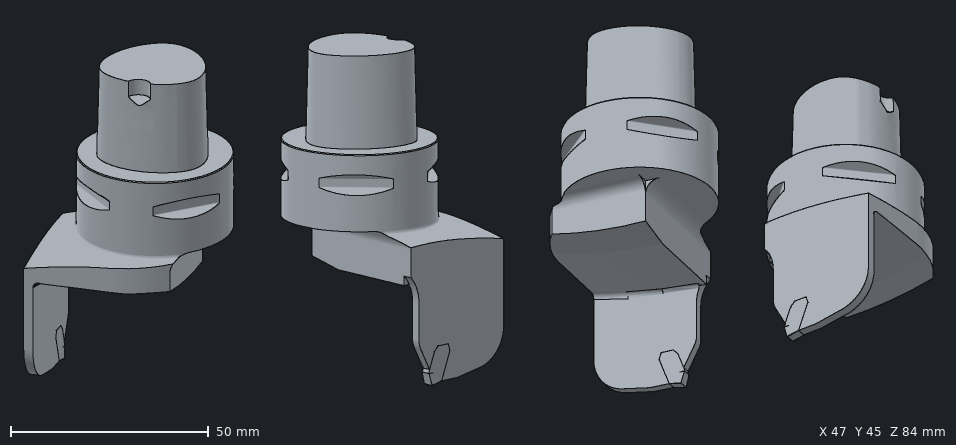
import cadquery as cq
import math


SHANK_HEIGHT = 24.0
SHANK_RADIUS = 14.1
LOBE_DEPTH = 0.8
LOBE_COUNT = 3
FIRST_LOBE_ANGLE = 90
LOBE_SPLINE_STEPS = 12
SHANK_TAPER = 1 / 40
LOBE_HALF_ANGLE = 28
KEYWAY_DIAMETER = 6.2
KEYWAY_Y = -13.5
KEYWAY_DEPTH = 4.2
KEYWAY_TIP_DEPTH = 2.4

FLANGE_RADIUS = 40.0 / 2
FLANGE_HEIGHT = 20.0
FLANGE_CHAMFER = 0.25
SLOT_COUNT = 4
FIRST_SLOT_ANGLE = 45
SLOT_Z = -7.9
SLOT_FLOOR_HEIGHT = 2.4
SLOT_FLOOR_FILLET = 0.3
SLOT_DEPTH = 2.35
SLOT_WALL_ANGLE = 32

BLADE_MID_X = -25.5
BLADE_THICKNESS = 2.5
BLADE_OUTER_X = BLADE_MID_X - BLADE_THICKNESS / 2
BLADE_INNER_X = BLADE_MID_X + BLADE_THICKNESS / 2
BLADE_FRONT_Y = -25.0
BLADE_BACK_Y = 4.0
BLADE_NECK_TOP_Z = -30.9
BLADE_NECK_RADIUS = 10.0
BLADE_SLANT_TOP_Z = -48.8
BLADE_FLAT_END_Y = -9.1
BLADE_BOTTOM_SLOPE = 10.4
BLADE_HEEL_RADIUS = 5.0
BLADE_BOTTOM_Z = -59.2
BLADE_CORNER_RADIUS = 10.0
BLADE_ROOT_FILLET = 1.35

ARM_BACK_Y = 6.8
ARM_END_X = 10.5
ARM_FRONT_BOTTOM_Z = -29.15
ARM_BOTTOM_Z = -33.4
ARM_END_BOTTOM_Z = -31.4
ARM_RISE_X = 0.6
ARM_ROUND_RADIUS = 25.0
ARM_ROUND_X = -5.0
ARM_FLARE_RADIUS = 3.8
CONE_ANGLE = 15
CONE_START_Z = -21.1
CONE_FILLET = 1.1
CONE_OUTER_RADIUS = 50.4
UNDERSIDE_BULGE = 0.8
SECTION_MARGIN = 2.5

CUT_WIDTH = 3.0
TIP = (-0.25, -60.0)
RAKE_TOP = (0.7, -56.7)
RELIEF_BACK = (-0.7, -56.7)
RELIEF_FRONT = (-3.5, -59.3)
SEAT_POINTS = [
    (-3.7, -59.3),
    (-6.55, -51.75),
    (-6.0, -50.0),
    (-2.5, -50.0),
    (-1.3, -51.3),
    (0.4, -55.7),
]


def lobe_point(mean_radius, angle):
    """Point of the three-lobed outline whose outward normal is at the angle in degrees."""
    t = math.radians(angle)
    reach = mean_radius - LOBE_DEPTH * math.sin(LOBE_COUNT * t)
    reach_slope = -LOBE_COUNT * LOBE_DEPTH * math.cos(LOBE_COUNT * t)
    return (
        reach * math.cos(t) - reach_slope * math.sin(t),
        reach * math.sin(t) + reach_slope * math.cos(t),
    )


def lobe_wire(mean_radius, z):
    """Closed outline at height z, alternating lobe faces and the sides between them."""
    pitch = 360 / LOBE_COUNT
    steps = LOBE_SPLINE_STEPS
    edges = []
    for lobe in range(LOBE_COUNT):
        start = FIRST_LOBE_ANGLE + lobe * pitch - LOBE_HALF_ANGLE
        ends = [start, start + 2 * LOBE_HALF_ANGLE, start + pitch]
        for first, last in zip(ends, ends[1:]):
            angles = [first + (last - first) * i / steps for i in range(steps + 1)]
            points = [cq.Vector(*lobe_point(mean_radius, a), z) for a in angles]
            edges.append(cq.Edge.makeSpline(points))
    return cq.Wire.assembleEdges(edges)


def make_shank():
    """Tapered polygon shank with a blind drilled keyway in its front side."""
    top_radius = SHANK_RADIUS - SHANK_TAPER * SHANK_HEIGHT
    shank = cq.Solid.makeLoft([lobe_wire(SHANK_RADIUS, 0), lobe_wire(top_radius, SHANK_HEIGHT)], True)
    keyway = (
        cq.Workplane("XZ")
        .polyline([
            (0, SHANK_HEIGHT),
            (KEYWAY_DIAMETER / 2, SHANK_HEIGHT),
            (KEYWAY_DIAMETER / 2, SHANK_HEIGHT - KEYWAY_DEPTH),
            (0, SHANK_HEIGHT - KEYWAY_DEPTH - KEYWAY_TIP_DEPTH),
        ])
        .close()
        .revolve(360, (0, 0), (0, 1))
        .translate((0, KEYWAY_Y, 0))
    )
    return cq.Workplane(shank).cut(keyway)


def make_flange():
    """Round flange with gripper slots spaced evenly around it."""
    flange = (
        cq.Workplane("XY")
        .workplane(offset=-FLANGE_HEIGHT)
        .circle(FLANGE_RADIUS)
        .extrude(FLANGE_HEIGHT)
        .faces(">Z")
        .chamfer(FLANGE_CHAMFER)
    )
    floor = FLANGE_RADIUS - SLOT_DEPTH
    half_floor = SLOT_FLOOR_HEIGHT / 2
    half_mouth = half_floor + SLOT_DEPTH * math.tan(math.radians(SLOT_WALL_ANGLE))
    slot = (
        cq.Workplane("XZ")
        .polyline([
            (floor, SLOT_Z - half_floor),
            (FLANGE_RADIUS, SLOT_Z - half_mouth),
            (FLANGE_RADIUS, SLOT_Z + half_mouth),
            (floor, SLOT_Z + half_floor),
        ])
        .close()
        .extrude(FLANGE_RADIUS, both=True)
        .faces("<X")
        .edges("|Y")
        .fillet(SLOT_FLOOR_FILLET)
    )
    for i in range(SLOT_COUNT):
        angle = FIRST_SLOT_ANGLE + 360 / SLOT_COUNT * i
        flange = flange.cut(slot.rotate((0, 0, 0), (0, 0, 1), angle))
    return flange


def front_wall_y(x):
    """Y of the arm's front wall on its arc."""
    return BLADE_FRONT_Y + ARM_ROUND_RADIUS - math.sqrt(ARM_ROUND_RADIUS**2 - (x - ARM_ROUND_X) ** 2)


def arm_section(x, front_y, bottom_z):
    """Cross-section of the arm at x, with a bulging underside that is steepest at the front."""
    arc_mid = (
        (ARM_BACK_Y + front_y) / 2,
        (bottom_z + ARM_FRONT_BOTTOM_Z) / 2 - UNDERSIDE_BULGE,
    )
    run = ARM_BACK_Y - front_y
    front_slope = (ARM_FRONT_BOTTOM_Z - bottom_z + 4 * UNDERSIDE_BULGE) / run
    nose = (front_y - SECTION_MARGIN, ARM_FRONT_BOTTOM_Z + SECTION_MARGIN * front_slope)
    return (
        cq.Workplane("YZ", origin=(x, 0, 0))
        .moveTo(ARM_BACK_Y, -FLANGE_HEIGHT)
        .lineTo(ARM_BACK_Y, bottom_z)
        .threePointArc(arc_mid, (front_y, ARM_FRONT_BOTTOM_Z))
        .lineTo(*nose)
        .lineTo(nose[0], -FLANGE_HEIGHT)
        .close()
        .wires()
        .val()
    )


def make_arm():
    """Arm from the blade to its free end, trimmed to its outline in plan."""
    inner = arm_section(BLADE_INNER_X, BLADE_FRONT_Y, ARM_BOTTOM_Z)
    rise = arm_section(ARM_RISE_X, BLADE_FRONT_Y, ARM_BOTTOM_Z)
    end = arm_section(ARM_END_X, front_wall_y(ARM_END_X), ARM_END_BOTTOM_Z)
    level_part = cq.Workplane(cq.Solid.makeLoft([inner, rise], True))
    rising_part = cq.Workplane(cq.Solid.makeLoft([rise, end], True))
    outline = (
        cq.Workplane("XY")
        .moveTo(BLADE_OUTER_X, BLADE_FRONT_Y)
        .lineTo(ARM_ROUND_X, BLADE_FRONT_Y)
        .radiusArc((ARM_END_X, front_wall_y(ARM_END_X)), -ARM_ROUND_RADIUS)
        .lineTo(ARM_END_X, ARM_BACK_Y)
        .lineTo(BLADE_OUTER_X, ARM_BACK_Y)
        .close()
        .extrude(ARM_BOTTOM_Z)
    )
    return level_part.union(rising_part).intersect(outline)


def flare_bar(length):
    """Bar of the given length along Y with a concave quarter-round side facing down and +X."""
    r = ARM_FLARE_RADIUS
    return (
        cq.Workplane("XZ")
        .moveTo(0, -FLANGE_HEIGHT)
        .lineTo(0, -FLANGE_HEIGHT - r)
        .radiusArc((r, -FLANGE_HEIGHT), r)
        .close()
        .extrude(-length)
    )


def make_flare():
    """Concave flares where the back and the free end of the arm run into the flange."""
    front_y = front_wall_y(ARM_END_X)
    end_flare = flare_bar(ARM_BACK_Y - front_y).translate((ARM_END_X, front_y, 0))
    back_flare = (
        flare_bar(ARM_END_X - BLADE_OUTER_X)
        .rotate((0, 0, 0), (0, 0, 1), 90)
        .translate((ARM_END_X, ARM_BACK_Y, 0))
    )
    front_limit = (
        cq.Workplane("XY")
        .center(ARM_ROUND_X, BLADE_FRONT_Y + ARM_ROUND_RADIUS)
        .circle(ARM_ROUND_RADIUS)
        .extrude(-FLANGE_HEIGHT - 2 * ARM_FLARE_RADIUS)
    )
    return end_flare.intersect(front_limit).union(back_flare)


def make_blade():
    """Flat blade whose edge is left open where the insert leaves it."""
    slope = math.tan(math.radians(BLADE_BOTTOM_SLOPE))
    corner_z = BLADE_BOTTOM_Z + slope * (BLADE_FLAT_END_Y - BLADE_FRONT_Y)
    neck_width = ARM_BACK_Y - BLADE_BACK_Y
    neck_height = math.sqrt(BLADE_NECK_RADIUS**2 - (BLADE_NECK_RADIUS - neck_width) ** 2)
    blade = (
        cq.Workplane("YZ", origin=(BLADE_OUTER_X, 0, 0))
        .moveTo(BLADE_FRONT_Y, -FLANGE_HEIGHT)
        .lineTo(BLADE_FRONT_Y, corner_z)
        .lineTo(BLADE_FLAT_END_Y, BLADE_BOTTOM_Z)
        .lineTo(*SEAT_POINTS[0])
        .lineTo(*SEAT_POINTS[-1])
        .lineTo(BLADE_BACK_Y, BLADE_SLANT_TOP_Z)
        .lineTo(BLADE_BACK_Y, BLADE_NECK_TOP_Z - neck_height)
        .radiusArc((ARM_BACK_Y, BLADE_NECK_TOP_Z), BLADE_NECK_RADIUS)
        .lineTo(ARM_BACK_Y, -FLANGE_HEIGHT)
        .close()
        .extrude(BLADE_THICKNESS)
    )
    corner = cq.NearestToPointSelector((BLADE_MID_X, BLADE_FRONT_Y, corner_z))
    blade = blade.edges(corner).fillet(BLADE_CORNER_RADIUS)
    heel = cq.NearestToPointSelector((BLADE_MID_X, BLADE_BACK_Y, BLADE_SLANT_TOP_Z))
    return blade.edges(heel).fillet(BLADE_HEEL_RADIUS)


def make_cone_envelope():
    """Solid of revolution on the insert side of the cone that tops the arm, blended into the flange."""
    drop = (CONE_OUTER_RADIUS - FLANGE_RADIUS) * math.tan(math.radians(CONE_ANGLE))
    envelope = (
        cq.Workplane("XZ")
        .polyline([
            (0, TIP[1]),
            (CONE_OUTER_RADIUS, TIP[1]),
            (CONE_OUTER_RADIUS, CONE_START_Z - drop),
            (FLANGE_RADIUS, CONE_START_Z),
            (FLANGE_RADIUS, 0),
            (0, 0),
        ])
        .close()
        .revolve(360, (0, 0), (0, 1))
    )
    root = cq.NearestToPointSelector((0, 0, CONE_START_Z))
    return envelope.edges("%CIRCLE").edges(root).fillet(CONE_FILLET)


def make_tip():
    """Front of the insert: full width at the cutting edge, relieved back to the blade's faces."""
    line_y = RELIEF_FRONT[0] - RELIEF_BACK[0]
    line_z = RELIEF_FRONT[1] - RELIEF_BACK[1]
    length = math.hypot(line_y, line_z)
    along = cq.Vector(0, line_y / length, line_z / length)
    across = cq.Vector(1, 0, 0).cross(along)
    start = cq.Vector(BLADE_MID_X, *RELIEF_BACK)
    tip_distance = (cq.Vector(BLADE_MID_X, *TIP) - start).dot(across)
    wedge = (
        cq.Workplane(cq.Plane(start, across, along))
        .polyline([
            (0, BLADE_THICKNESS / 2),
            (tip_distance, CUT_WIDTH / 2),
            (tip_distance, -CUT_WIDTH / 2),
            (0, -BLADE_THICKNESS / 2),
        ])
        .close()
        .extrude(length, both=True)
    )
    side = (
        cq.Workplane("YZ", origin=(BLADE_MID_X, 0, 0))
        .polyline([RAKE_TOP, RELIEF_BACK, RELIEF_FRONT, TIP])
        .close()
        .extrude(CUT_WIDTH, both=True)
    )
    return wedge.intersect(side)


def make_insert():
    """Cutting insert, as thick as the blade except at its wider tip."""
    stem = (
        cq.Workplane("YZ", origin=(BLADE_OUTER_X, 0, 0))
        .polyline([*SEAT_POINTS, RAKE_TOP, TIP])
        .close()
        .extrude(BLADE_THICKNESS)
    )
    return stem.union(make_tip())


def make_holder(insert):
    """Shank, flange, arm and blade as one solid with a seat cut for the insert."""
    head = make_arm().union(make_blade())
    root = cq.NearestToPointSelector((BLADE_INNER_X, (BLADE_FRONT_Y + ARM_BACK_Y) / 2, ARM_BOTTOM_Z))
    head = head.edges(root).fillet(BLADE_ROOT_FILLET)
    head = head.union(make_flare()).intersect(make_cone_envelope())
    return make_shank().union(make_flange()).union(head).cut(insert)


insert = make_insert()
holder = make_holder(insert)
result = cq.Compound.makeCompound([holder.val(), insert.val()])